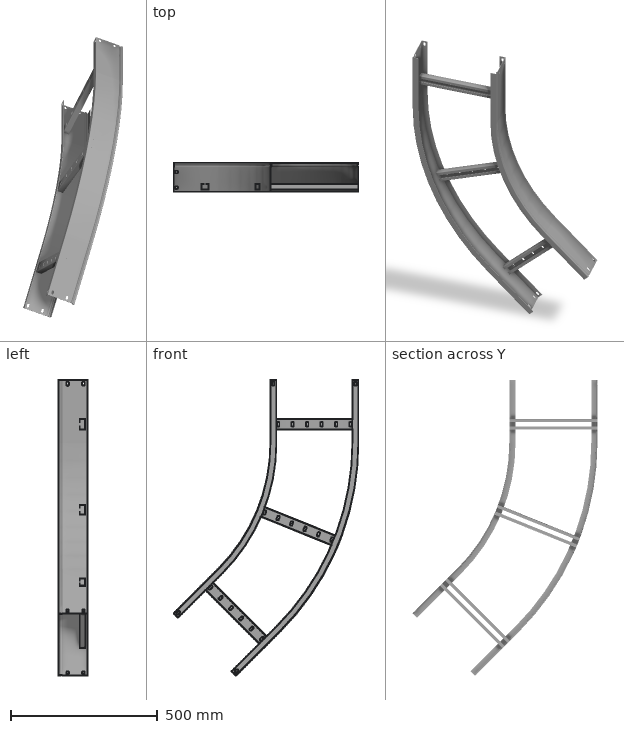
import cadquery as cq
import math


OVERALL_HEIGHT = 1008.0
BEND_ANGLE = 45.0
LADDER_WIDTH = 300.0
INNER_RADIUS = 605.0
OUTER_RADIUS = INNER_RADIUS + LADDER_WIDTH
BEND_SINE = math.sin(math.radians(BEND_ANGLE))
STRAIGHT = (OVERALL_HEIGHT - OUTER_RADIUS * BEND_SINE) / (1 + BEND_SINE)

SHEET = 1.5
FOLD_RADIUS = 1.0

RAIL_DEPTH = 100.0
FLANGE_WIDTH = 21.0
GROOVE_START = 5.0
GROOVE_END = 14.0
GROOVE_DEPTH = 3.0

END_SLOT_LENGTH = 14.0
END_SLOT_WIDTH = 8.0
END_SLOT_INSET = 13.0
FLANGE_SLOT_OFFSET = 10.0
WEB_SLOT_HEIGHTS = (-35.0, 18.0)

RUNG_HEIGHT = 36.0
RUNG_DEPTH = 20.0
RUNG_FRONT = -42.0
RUNG_LIP = 11.0
RUNG_INSET = 151.0
MIDDLE_RUNG_ANGLE = 22.0
RUNG_SLOTS = 6
RUNG_SLOT_PITCH = 49.0
RUNG_SLOT_LENGTH = 16.0
RUNG_SLOT_WIDTH = 7.0


def strip_face(plane, path):
    """Section of a folded sheet whose middle follows the (x, y) path, with rounded folds."""
    points = [cq.Vector(x, y, 0) for x, y in path]
    headings = [(end - start).normalized() for start, end in zip(points, points[1:])]
    normals = [cq.Vector(-heading.y, heading.x, 0) for heading in headings]

    def side(offset):
        """Edges of one side of the sheet, and its two end points."""
        edges = []
        first = points[0] + normals[0] * offset
        position = first
        for i in range(1, len(points) - 1):
            half_turn = headings[i - 1].getAngle(headings[i]) / 2
            tangent = FOLD_RADIUS * math.tan(half_turn)
            outward = (headings[i - 1] - headings[i]).normalized()
            crown = points[i] - outward * (FOLD_RADIUS / math.cos(half_turn) - FOLD_RADIUS)
            crown_normal = (normals[i - 1] + normals[i]).normalized()
            fold_start = points[i] - headings[i - 1] * tangent + normals[i - 1] * offset
            fold_end = points[i] + headings[i] * tangent + normals[i] * offset
            edges.append(cq.Edge.makeLine(position, fold_start))
            edges.append(cq.Edge.makeThreePointArc(fold_start, crown + crown_normal * offset, fold_end))
            position = fold_end
        last = points[-1] + normals[-1] * offset
        edges.append(cq.Edge.makeLine(position, last))
        return edges, first, last

    left_edges, left_first, left_last = side(SHEET / 2)
    right_edges, right_first, right_last = side(-SHEET / 2)
    caps = [cq.Edge.makeLine(left_first, right_first), cq.Edge.makeLine(left_last, right_last)]
    outline = cq.Wire.assembleEdges(left_edges + [caps[1]] + right_edges[::-1] + [caps[0]])
    return cq.Face.makeFromWires(outline).moved(plane.location)


def around_bend(shape, angle):
    """Turn a workplane about the bend axis, towards the lower straight."""
    return shape.rotate((0, 0, 0), (0, 1, 0), angle)


def rail_end_slots(outer_radius, inward):
    """Cutters for the slots at the end of the upper straight."""
    slot_z = STRAIGHT - END_SLOT_INSET
    cutters = (
        cq.Workplane("XZ", origin=(outer_radius + inward * FLANGE_SLOT_OFFSET, -RAIL_DEPTH / 2, slot_z))
        .slot2D(END_SLOT_LENGTH, END_SLOT_WIDTH, 90)
        .extrude(SHEET, both=True)
    )
    web_slots = (
        cq.Workplane("YZ", origin=(outer_radius, 0, slot_z))
        .pushPoints([(height, 0) for height in WEB_SLOT_HEIGHTS])
        .slot2D(END_SLOT_LENGTH, END_SLOT_WIDTH, 90)
        .extrude(SHEET, both=True)
    )
    return cutters.add(web_slots)


def make_rail(outer_radius, inward):
    """Side rail; `inward` is the X direction (+1 or -1) in which its flanges point."""
    web = SHEET / 2
    front = -RAIL_DEPTH / 2 + SHEET / 2
    back = RAIL_DEPTH / 2 - SHEET / 2
    groove_start = RAIL_DEPTH / 2 - GROOVE_START
    groove_end = RAIL_DEPTH / 2 - GROOVE_END
    path = [
        (FLANGE_WIDTH, front),
        (web, front),
        (web, groove_end),
        (web + GROOVE_DEPTH, groove_end + GROOVE_DEPTH),
        (web + GROOVE_DEPTH, groove_start - GROOVE_DEPTH),
        (web, groove_start),
        (web, back),
        (FLANGE_WIDTH, back),
    ]
    placed_path = [(outer_radius + inward * reach, y) for reach, y in path]
    section = strip_face(cq.Plane.XY(), placed_path)
    straight = cq.Workplane(cq.Solid.extrudeLinear(section, cq.Vector(0, 0, STRAIGHT)))
    bend = cq.Workplane(cq.Solid.revolve(section, BEND_ANGLE, cq.Vector(0, 0, 0), cq.Vector(0, 1, 0)))
    for cutter in rail_end_slots(outer_radius, inward).vals():
        straight = straight.cut(cq.Workplane(cutter))
    lower = around_bend(straight.mirror("XY"), BEND_ANGLE)
    return straight.union(bend).union(lower)


def make_rung():
    """Lipped channel along X, centred on the XY plane, with slots in its front wall."""
    front = RUNG_FRONT + SHEET / 2
    back = RUNG_FRONT + RUNG_DEPTH - SHEET / 2
    side = RUNG_HEIGHT / 2 - SHEET / 2
    lip_edge = RUNG_HEIGHT / 2 - RUNG_LIP
    half_path = [(back, lip_edge), (back, side), (front, side)]
    path = half_path + [(y, -z) for y, z in reversed(half_path)]
    section = strip_face(cq.Plane.named("YZ", (INNER_RADIUS, 0, 0)), path)
    channel = cq.Workplane(cq.Solid.extrudeLinear(section, cq.Vector(LADDER_WIDTH, 0, 0)))
    slots = (
        cq.Workplane("XZ", origin=(INNER_RADIUS + LADDER_WIDTH / 2, RUNG_FRONT, 0))
        .rarray(RUNG_SLOT_PITCH, 10, RUNG_SLOTS, 1)
        .slot2D(RUNG_SLOT_LENGTH, RUNG_SLOT_WIDTH, 90)
        .extrude(2 * SHEET, both=True)
    )
    return channel.cut(slots)


def place_rungs():
    """One rung on each straight and one across the bend."""
    height = STRAIGHT - RUNG_INSET
    placements = [(height, 0), (0, MIDDLE_RUNG_ANGLE), (-height, BEND_ANGLE)]
    return [around_bend(make_rung().translate((0, 0, z)), angle) for z, angle in placements]


rungs = place_rungs()
rails = []
for web_radius, flange_direction in ((INNER_RADIUS, 1), (OUTER_RADIUS, -1)):
    rail = make_rail(web_radius, flange_direction)
    for rung in rungs:
        rail = rail.cut(rung)
    rails.append(rail)

result = cq.Compound.makeCompound([body.solids().val() for body in rails + rungs])